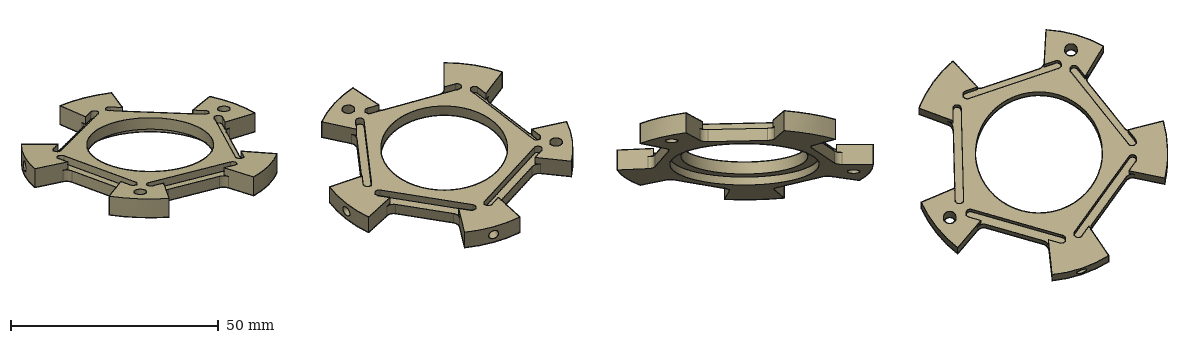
import cadquery as cq
import math

arm_count = 5
arm_pitch = 360 / arm_count
first_arm_angle = 90
overall_width = 61.8
thickness = 5.0
bore_radius = 15.25
recess_radius = 18.0
recess_depth = 2.0

arm_half_angle = 13.5
widest_corner_angle = first_arm_angle - arm_pitch - arm_half_angle
arm_radius = overall_width / 2 / math.cos(math.radians(widest_corner_angle))

pentagon_apothem = 20.45
pentagon_radius = pentagon_apothem / math.cos(math.radians(arm_pitch / 2))
corner_fillet = 2.0
slot_length = 25.0
slot_width = 2.05
slot_depth = 2.0
slot_floor = thickness - slot_depth

pin_hole_diameter = 3.0
pin_hole_radius = 27.0
pin_hole_arms = (0, 3)
side_hole_diameter = 2.55
side_hole_depth = 6.0
side_hole_arms = (1, 2)


def polar(radius, angle):
    """Point in the XY plane at a radius and an angle in degrees."""
    radians = math.radians(angle)
    return (radius * math.cos(radians), radius * math.sin(radians))


def arm_angle(index):
    """Direction of an arm, counted counterclockwise from +Y."""
    return first_arm_angle + index * arm_pitch


def make_arm(angle, height):
    """Disc sector with its tip on the part's axis."""
    return (
        cq.Workplane("XY")
        .lineTo(*polar(arm_radius, angle - arm_half_angle))
        .threePointArc(polar(arm_radius, angle), polar(arm_radius, angle + arm_half_angle))
        .close()
        .extrude(height)
    )


def make_star(height):
    """Pentagon joined to its arms, with sharp inner corners."""
    corners = [polar(pentagon_radius, arm_angle(i)) for i in range(arm_count)]
    star = cq.Workplane("XY").polyline(corners).close().extrude(height)
    for i in range(arm_count):
        star = star.union(make_arm(arm_angle(i), height))
    return star


def make_body():
    """Star whose inner corners are rounded below the slot floor and sharp above it."""
    lower = make_star(slot_floor)
    from_normal = arm_pitch / 2 - arm_half_angle
    corner_radius = pentagon_apothem / math.cos(math.radians(from_normal))
    for i in range(arm_count):
        for side in (-1, 1):
            x, y = polar(corner_radius, arm_angle(i + 0.5) + side * from_normal)
            corner = cq.selectors.NearestToPointSelector((x, y, slot_floor / 2))
            lower = lower.edges("|Z").edges(corner).fillet(corner_fillet)
    upper = make_star(slot_depth).translate((0, 0, slot_floor))
    return lower.union(upper)


def make_bore():
    """Central bore with a wider recess in the underside."""
    bore = cq.Workplane("XY").circle(bore_radius).extrude(thickness)
    recess = cq.Workplane("XY").circle(recess_radius).extrude(recess_depth)
    return bore.union(recess)


def make_edge_slot(angle):
    """Round-ended slot whose outer side lies on a pentagon edge."""
    return (
        cq.Workplane("XY", origin=(0, 0, slot_floor))
        .center(0, pentagon_apothem - slot_width / 2)
        .slot2D(slot_length, slot_width)
        .extrude(slot_depth)
        .rotate((0, 0, 0), (0, 0, 1), angle - 90)
    )


def make_pin_hole(angle):
    """Vertical hole through an arm."""
    return (
        cq.Workplane("XY")
        .center(*polar(pin_hole_radius, angle))
        .circle(pin_hole_diameter / 2)
        .extrude(thickness)
    )


def make_side_hole(angle):
    """Blind radial hole drilled in from an arm's outer face."""
    return (
        cq.Workplane("YZ", origin=(arm_radius - side_hole_depth, 0, thickness / 2))
        .circle(side_hole_diameter / 2)
        .extrude(side_hole_depth)
        .rotate((0, 0, 0), (0, 0, 1), angle)
    )


result = make_body().cut(make_bore())
for i in range(arm_count):
    result = result.cut(make_edge_slot(arm_angle(i + 0.5)))
for i in pin_hole_arms:
    result = result.cut(make_pin_hole(arm_angle(i)))
for i in side_hole_arms:
    result = result.cut(make_side_hole(arm_angle(i)))